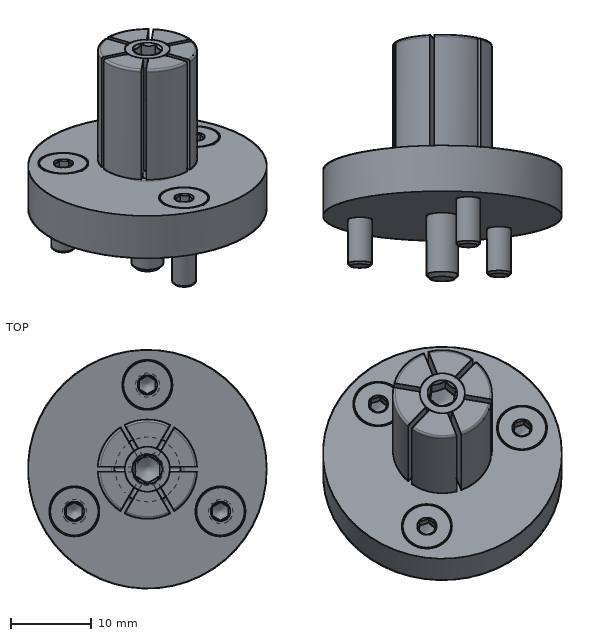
import cadquery as cq
import math

flange_diameter = 29.7
flange_thickness = 5.8
collet_diameter = 12.37
collet_top_z = 21.8
collet_edge_radius = 0.3
neck_groove_radius = 0.48
neck_waist_radius = 4.02
slot_count = 6
slot_width = 0.6

center_shank_diameter = 4.0
center_head_diameter = 5.6
center_taper_length = 6.2
center_tip_z = -8.0
center_tip_chamfer = 0.5
center_socket_flats = 3.07
center_socket_rim_diameter = 3.7
center_socket_depth = 1.9

screw_count = 3
screw_circle_radius = 10.5
screw_first_angle = 90
screw_shank_diameter = 3.0
screw_head_diameter = 5.95
countersink_diameter = 6.25
countersink_angle = 90
screw_tip_z = -5.87
screw_tip_chamfer = 0.3
screw_socket_flats = 2.0
screw_socket_rim_diameter = 2.45
screw_socket_depth = 1.2

socket_rim_angle = 45
drill_tip_angle = 118
socket_turn = 30

cone_rise = 1 / math.tan(math.radians(countersink_angle / 2))
screw_head_height = (screw_head_diameter - screw_shank_diameter) / 2 * cone_rise
countersink_depth = (countersink_diameter - screw_shank_diameter) / 2 * cone_rise
neck_center_z = flange_thickness + neck_groove_radius
taper_end_z = collet_top_z - center_taper_length


def revolve_profile(points):
    """Solid of revolution about Z from (radius, z) points."""
    return cq.Workplane("XZ").polyline(points).close().revolve(360, (0, 0), (0, 1))


def hex_socket(flats, rim_diameter, depth, top_z):
    """Cutter for a hexagon socket with a conical lead-in and a conical floor."""
    corner_radius = flats / math.sqrt(3)
    rim_radius = rim_diameter / 2
    hexagon = (
        cq.Workplane("XY", origin=(0, 0, top_z))
        .polygon(6, 2 * corner_radius)
        .extrude(-depth - corner_radius)
        .rotate((0, 0, 0), (0, 0, 1), socket_turn)
    )
    lead_in_depth = rim_radius * math.tan(math.radians(socket_rim_angle))
    lead_in = revolve_profile([(0, top_z), (rim_radius, top_z), (0, top_z - lead_in_depth)])
    tip_depth = corner_radius / math.tan(math.radians(drill_tip_angle / 2))
    floor_z = top_z - depth
    envelope = revolve_profile([
        (0, top_z),
        (corner_radius, top_z),
        (corner_radius, floor_z),
        (0, floor_z - tip_depth),
    ])
    return hexagon.intersect(envelope).union(lead_in)


def center_screw_blank():
    """Taper-headed screw without its tip chamfer or socket."""
    shank_radius = center_shank_diameter / 2
    return revolve_profile([
        (0, center_tip_z),
        (shank_radius, center_tip_z),
        (shank_radius, taper_end_z),
        (center_head_diameter / 2, collet_top_z),
        (0, collet_top_z),
    ])


def make_center_screw():
    """Screw whose tapered head fills the collet and whose shank leaves below the flange."""
    socket = hex_socket(
        center_socket_flats, center_socket_rim_diameter, center_socket_depth, collet_top_z
    )
    return center_screw_blank().faces("<Z").chamfer(center_tip_chamfer).cut(socket)


def on_screw_circle(body, index):
    """Move a body from the Z axis to one of the mounting screw places."""
    angle = math.radians(screw_first_angle + index * 360 / screw_count)
    x = screw_circle_radius * math.cos(angle)
    y = screw_circle_radius * math.sin(angle)
    return body.translate((x, y, 0))


def screw_hole():
    """Cutter for a countersunk through hole, seating a mounting screw."""
    shank_radius = screw_shank_diameter / 2
    return revolve_profile([
        (0, 0),
        (shank_radius, 0),
        (shank_radius, flange_thickness - countersink_depth),
        (countersink_diameter / 2, flange_thickness),
        (0, flange_thickness),
    ])


def make_mounting_screw(index):
    """Countersunk screw, flush with the flange, with a narrow gap around its head."""
    shank_radius = screw_shank_diameter / 2
    blank = revolve_profile([
        (0, screw_tip_z),
        (shank_radius, screw_tip_z),
        (shank_radius, flange_thickness - screw_head_height),
        (screw_head_diameter / 2, flange_thickness),
        (0, flange_thickness),
    ])
    socket = hex_socket(
        screw_socket_flats, screw_socket_rim_diameter, screw_socket_depth, flange_thickness
    )
    screw = blank.faces("<Z").chamfer(screw_tip_chamfer).cut(socket)
    return on_screw_circle(screw, index)


def collet_slot(angle):
    """Radial slot cutter, open at the top, its round bottom centered at the middle of the neck."""
    half_width = slot_width / 2
    return (
        cq.Workplane("YZ")
        .moveTo(-half_width, collet_top_z)
        .lineTo(-half_width, neck_center_z)
        .threePointArc((0, neck_center_z - half_width), (half_width, neck_center_z))
        .lineTo(half_width, collet_top_z)
        .close()
        .extrude(collet_diameter / 2 + slot_width)
        .rotate((0, 0, 0), (0, 0, 1), angle)
    )


def make_housing():
    """Flange and slotted collet, bored for the central screw and the mounting screws."""
    flange = cq.Workplane("XY").circle(flange_diameter / 2).extrude(flange_thickness)
    collet = (
        cq.Workplane("XY", origin=(0, 0, flange_thickness))
        .circle(collet_diameter / 2)
        .extrude(collet_top_z - flange_thickness)
        .faces(">Z")
        .edges()
        .fillet(collet_edge_radius)
    )
    neck_edge_radius = neck_waist_radius + neck_groove_radius
    neck_top_z = flange_thickness + 2 * neck_groove_radius
    groove = (
        cq.Workplane("XZ")
        .moveTo(neck_edge_radius, flange_thickness)
        .threePointArc((neck_waist_radius, neck_center_z), (neck_edge_radius, neck_top_z))
        .lineTo(collet_diameter, neck_top_z)
        .lineTo(collet_diameter, flange_thickness)
        .close()
        .revolve(360, (0, 0), (0, 1))
    )
    housing = collet.cut(groove).union(flange)
    for i in range(slot_count):
        housing = housing.cut(collet_slot(i * 360 / slot_count))
    housing = housing.cut(center_screw_blank())
    for i in range(screw_count):
        housing = housing.cut(on_screw_circle(screw_hole(), i))
    return housing


housing = make_housing()
center_screw = make_center_screw()
mounting_screws = [make_mounting_screw(i) for i in range(screw_count)]

result = cq.Compound.makeCompound([
    housing.val(),
    center_screw.val(),
    *[screw.val() for screw in mounting_screws],
])